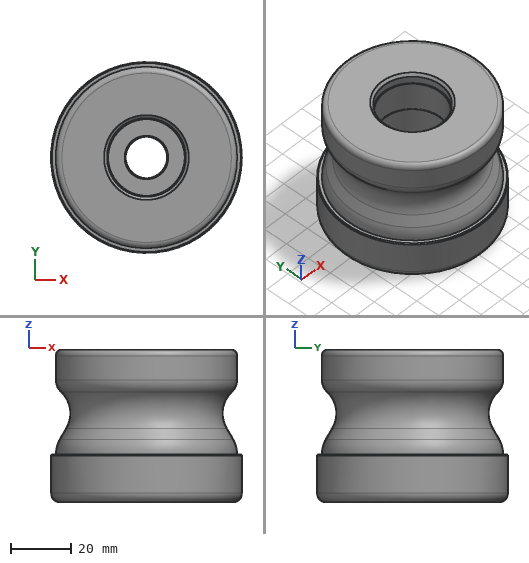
import cadquery as cq
import math

base_radius = 31.75
total_height = 50.8
base_height = 16.0
base_bottom_fillet = 3.175
edge_break = 0.4

head_radius = 30.15
head_top_fillet = 2.0
waist_radius = 25.35
groove_depth = head_radius - waist_radius
groove_arc_radius = 9.9
head_arc_radius = 5.3
shoulder_angle = math.radians(30)

bore_radius = 13.1
bore_mouth_chamfer = 1.0
bore_floor_height = base_height
bolt_hole_radius = 6.85

liner_inner_radius = 12.7
liner_top_depth = 3.97
liner_bottom_depth = 15.875

shoulder_arc_rise = groove_arc_radius * math.sin(shoulder_angle)
shoulder_arc_inset = groove_arc_radius * (1 - math.cos(shoulder_angle))
flank_rise = (groove_depth - 2 * shoulder_arc_inset) / math.tan(shoulder_angle)
flank_bottom = (head_radius - shoulder_arc_inset, base_height + shoulder_arc_rise)
flank_top = (waist_radius + shoulder_arc_inset, flank_bottom[1] + flank_rise)
waist_height = flank_top[1] + shoulder_arc_rise

head_angle = math.acos(1 - groove_depth / (groove_arc_radius + head_arc_radius))
head_arc_height = waist_height + (groove_arc_radius + head_arc_radius) * math.sin(head_angle)


def arc_point(center_radius, center_height, arc_radius, angle):
    """Point on an arc, as (radius, height), at an angle from the outward direction."""
    return (
        center_radius + arc_radius * math.cos(angle),
        center_height + arc_radius * math.sin(angle),
    )


def revolve_profile(profile):
    """Full turn of a closed (radius, height) profile about the Z axis."""
    return profile.close().revolve(360, (0, 0, 0), (0, 1, 0))


def make_stud_blank():
    """Outside shape of the stud: base, shoulder, waist and head."""
    shoulder_center = (head_radius - groove_arc_radius, base_height)
    head_arc_center = (head_radius - head_arc_radius, head_arc_height)
    shoulder_mid = arc_point(*shoulder_center, groove_arc_radius, shoulder_angle / 2)
    waist_mid = (waist_radius, waist_height)
    head_arc_start = arc_point(*head_arc_center, head_arc_radius, -head_angle)
    head_arc_mid = arc_point(*head_arc_center, head_arc_radius, -head_angle / 2)
    profile = (
        cq.Workplane("XZ")
        .lineTo(base_radius, 0)
        .lineTo(base_radius, base_height - edge_break)
        .lineTo(base_radius - edge_break, base_height)
        .lineTo(head_radius, base_height)
        .threePointArc(shoulder_mid, flank_bottom)
        .lineTo(*flank_top)
        .threePointArc(waist_mid, head_arc_start)
        .threePointArc(head_arc_mid, (head_radius, head_arc_height))
        .lineTo(head_radius, total_height)
        .lineTo(0, total_height)
    )
    blank = revolve_profile(profile)
    blank = blank.faces("<Z").edges().fillet(base_bottom_fillet)
    return blank.faces(">Z").edges().fillet(head_top_fillet)


def make_bore_cutter():
    """Blind bore with a chamfered mouth, and the bolt hole through its floor."""
    profile = (
        cq.Workplane("XZ")
        .lineTo(bolt_hole_radius, 0)
        .lineTo(bolt_hole_radius, bore_floor_height - edge_break)
        .lineTo(bolt_hole_radius + edge_break, bore_floor_height)
        .lineTo(bore_radius, bore_floor_height)
        .lineTo(bore_radius, total_height - bore_mouth_chamfer)
        .lineTo(bore_radius + bore_mouth_chamfer, total_height)
        .lineTo(0, total_height)
    )
    return revolve_profile(profile)


def make_liner():
    """Thin sleeve that lines the upper part of the bore."""
    return (
        cq.Workplane("XY", origin=(0, 0, total_height - liner_bottom_depth))
        .circle(bore_radius)
        .circle(liner_inner_radius)
        .extrude(liner_bottom_depth - liner_top_depth)
    )


stud = make_stud_blank().cut(make_bore_cutter())
liner = make_liner()

result = cq.Compound.makeCompound([stud.val(), liner.val()])